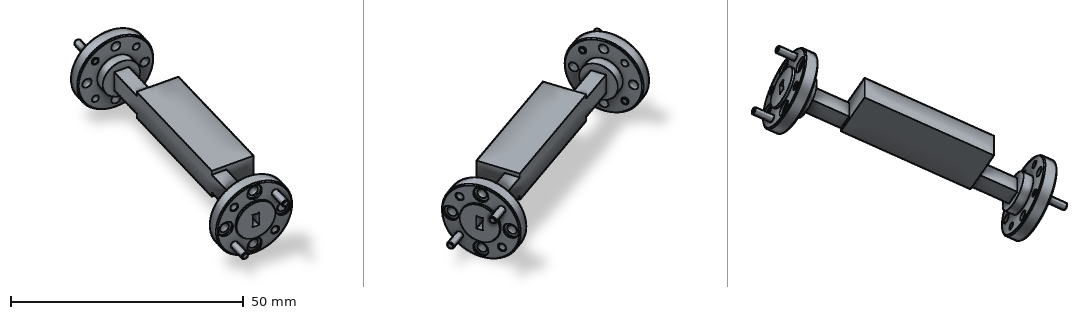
import cadquery as cq
import math


total_length = 71.25

flange_diameter = 19.0
flange_face_x = 31.0
flange_thickness = 3.2
flange_chamfer = 0.3

contact_diameter = 9.6
contact_height = 0.6
hub_diameter = 9.25
hub_length = 2.35

tube_width = 3.6
tube_height = 4.9
block_length = 31.85
block_height = 7.05
block_front_y = -tube_width / 2
block_width = 10.4

port_width = 1.6
port_height = 3.3

pitch_radius = 7.2
screw_diameter = 2.3
counterbore_diameter = 3.6
counterbore_depth = 0.6
alignment_hole_diameter = 1.7
alignment_hole_chamfer = 0.15
pin_diameter = 1.7
pin_chamfer = 0.2
long_pin_extra = 0.15

contact_face_x = flange_face_x + contact_height
flange_back_x = flange_face_x - flange_thickness
hub_end_x = flange_back_x - hub_length
port_depth = contact_face_x - block_length / 2
pin_tip_x = (total_length - long_pin_extra) / 2

SCREW_ANGLES = (0, 90, 180, 270)
PIN_ANGLES = (45, 225)
LONG_PIN_ANGLE = 225
ALIGNMENT_HOLE_ANGLES = (135, 315)


def on_pitch_circle(angle):
    """Y and Z of a place on the pitch circle, measured from +Y toward +Z."""
    turn = math.radians(angle)
    return pitch_radius * math.cos(turn), pitch_radius * math.sin(turn)


def rod(diameter, start_x, end_x, y=0, z=0):
    """Cylinder along X."""
    section = cq.Workplane("YZ", origin=(start_x, y, z)).circle(diameter / 2)
    return section.extrude(end_x - start_x)


def make_flange():
    """Flange of the +X end, with its contact face, hub and holes."""
    flange = rod(flange_diameter, flange_back_x, flange_face_x).edges().chamfer(flange_chamfer)
    flange = flange.union(rod(contact_diameter, flange_face_x, contact_face_x))
    flange = flange.union(rod(hub_diameter, hub_end_x, flange_back_x))

    floor_x = flange_face_x - counterbore_depth
    for angle in SCREW_ANGLES:
        y, z = on_pitch_circle(angle)
        flange = flange.cut(rod(screw_diameter, flange_back_x, flange_face_x, y, z))
        flange = flange.cut(rod(counterbore_diameter, floor_x, flange_face_x, y, z))

    mouth_diameter = alignment_hole_diameter + 2 * alignment_hole_chamfer
    for angle in ALIGNMENT_HOLE_ANGLES:
        y, z = on_pitch_circle(angle)
        flange = flange.cut(rod(alignment_hole_diameter, flange_back_x, flange_face_x, y, z))
        mouth = cq.Workplane("YZ", origin=(flange_face_x, y, z)).circle(mouth_diameter / 2)
        flange = flange.cut(mouth.extrude(-alignment_hole_chamfer, taper=45))

    for angle in PIN_ANGLES:
        y, z = on_pitch_circle(angle)
        flange = flange.cut(rod(pin_diameter, flange_back_x, flange_face_x, y, z))
    return flange


def make_pin(angle, tip_x):
    """Alignment pin of the +X flange, flush with its back and chamfered at both ends."""
    y, z = on_pitch_circle(angle)
    return rod(pin_diameter, flange_back_x, tip_x, y, z).edges("%CIRCLE").chamfer(pin_chamfer)


def at_minus_x(shape):
    """The same thing at the -X end, turned half a turn about Z."""
    return shape.rotate((0, 0, 0), (0, 0, 1), 180)


def make_housing():
    """Tube, block and both flanges in one piece, with a port in each end."""
    tube = cq.Workplane("XY").box(2 * hub_end_x, tube_width, tube_height)
    block = cq.Workplane("XY").box(block_length, block_width, block_height)
    block = block.translate((0, block_front_y + block_width / 2, 0))
    port = cq.Workplane("XY").box(port_depth, port_width, port_height)
    port = port.translate((contact_face_x - port_depth / 2, 0, 0))

    flange = make_flange()
    housing = tube.union(block).union(flange).union(at_minus_x(flange))
    return housing.cut(port).cut(at_minus_x(port))


housing = make_housing()

pins = []
for angle in PIN_ANGLES:
    extra = long_pin_extra if angle == LONG_PIN_ANGLE else 0
    pins.append(make_pin(angle, pin_tip_x + extra))
    pins.append(at_minus_x(make_pin(angle, pin_tip_x)))

result = cq.Compound.makeCompound([housing.val(), *[pin.val() for pin in pins]])